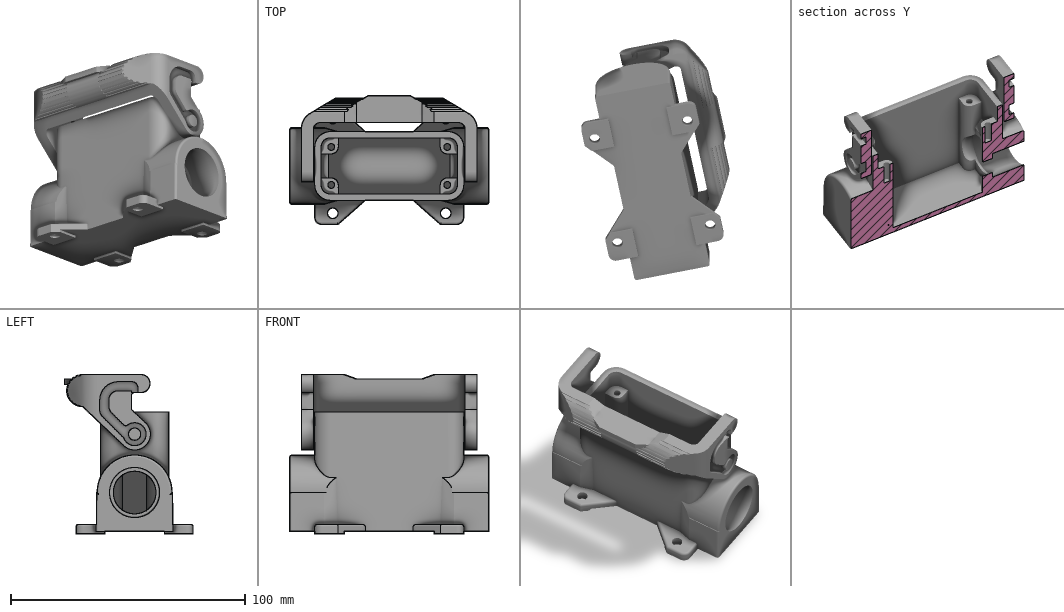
import cadquery as cq
import math

base_z = 1.0
body_top = 52.0
body_half_x = 31.8
body_half_y = 14.65
body_corner_r = 6.6
wall = 2.7
floor_z = 4.0

post_inner_x = 21.75
post_inner_y = 5.15
post_corner_r = 3.0
post_top = 43.0
post_hole_r = 1.45
post_hole_x = 24.75
post_hole_y = 8.1
post_hole_depth = 10.0

pad_inner_x = 25.9
pad_top = 33.0
pad_slope_height = 3.7

port_end_x = 42.5
port_r = 16.0
port_axis_z = 17.6
port_base_half_y = 16.4
port_draft = 0.6
port_shoulder_x = 27.7
port_root_x = 21.8
port_edge_r = 1.0
bore_r = 9.1
counterbore_r = 10.7
counterbore_depth = 15.5

foot_end_y = 25.0
foot_top = 4.0
foot_tip_x = 21.9
foot_root_x = 10.2
foot_corner_r = 3.0
foot_edge_r = 1.0
foot_hole_r = 2.2
foot_hole_x = 24.1
foot_hole_y = 20.2
foot_pad_inner_x = 19.1
foot_pad_inner_y = 12.65

lever_top = 68.0
lever_half_x = 37.5
arm_inner_x = 32.3
lever_inner_r = 2.8
lever_outer_r = 7.6
grip_inner_y = 18.5
grip_r = 6.9
grip_axis_y = 22.1
grip_back_half_x = 22.8
grip_slant = 30.7
pivot_z = 42.5
pivot_outer_r = 6.75
pivot_pin_r = 3.5
hook_r = 3.9
hook_axis_y = -2.7
slot_back_y = 1.3
slot_back_bottom_z = 53.0
slot_corner_r = 1.2

groove_depth = 2.4
groove_width = 3.9
groove_axis_y = 7.0
groove_axis_z = 57.0
groove_inner_r = 4.0
groove_outer_r = groove_inner_r + groove_width
groove_lean = 45.0
groove_run_offset = 0.5
groove_bend_r = 4.0
groove_blend_r = 1.2
groove_front_y = -1.4
groove_corner_r = 2.6
pivot_groove_r = 4.9
pivot_button_r = 2.6

rest_floor_z = 66.1
rest_half_x = 14.0
rest_rim_half_x = 19.2
tab_thickness = 2.5
tab_end_y = 30.0
tab_end_half_x = 9.0
tab_side_y = 27.2
rib_groove_count = 11
rib_pitch = 15.25
rib_groove_angle = 7.5
rib_depth = 0.35


def box(x0, x1, y0, y1, z0, z1):
    """Box between two corners, given in any order."""
    return (
        cq.Workplane("XY")
        .box(abs(x1 - x0), abs(y1 - y0), abs(z1 - z0))
        .translate(((x0 + x1) / 2, (y0 + y1) / 2, (z0 + z1) / 2))
    )


def cylinder_x(radius, x0, x1, y, z):
    """Cylinder along X between x0 and x1."""
    return cq.Workplane("YZ", origin=(x0, y, z)).circle(radius).extrude(x1 - x0)


def cylinder_z(radius, x, y, z0, z1):
    """Cylinder along Z between z0 and z1."""
    return cq.Workplane("XY", origin=(x, y, z0)).circle(radius).extrude(z1 - z0)


def tangent_point(point, center, radius, side):
    """Point where the line from an outside point touches a circle; side is +1 or -1."""
    dy = point[0] - center[0]
    dz = point[1] - center[1]
    turn = math.acos(radius / math.hypot(dy, dz))
    angle = math.atan2(dz, dy) + side * turn
    return on_circle(center, radius, angle)


def on_circle(center, radius, angle):
    """Point on a circle at an angle in radians."""
    return (center[0] + radius * math.cos(angle), center[1] + radius * math.sin(angle))


def make_shell():
    return (
        box(-body_half_x, body_half_x, -body_half_y, body_half_y, base_z, body_top)
        .edges("|Z").fillet(body_corner_r)
    )


def make_cavity():
    inner_x = body_half_x - wall
    inner_y = body_half_y - wall
    return (
        box(-inner_x, inner_x, -inner_y, inner_y, floor_z, body_top)
        .edges("|Z").fillet(body_corner_r - wall)
    )


def make_port(side):
    """Arched port block; its flanks narrow toward the body and lean inward."""
    reach = 2 * port_end_x
    arch = (
        cylinder_x(port_r, 0, side * port_end_x, 0, port_axis_z)
        .union(box(0, side * port_end_x, -port_base_half_y, port_base_half_y, base_z, port_axis_z))
    )
    plan = (
        cq.Workplane("XY", origin=(0, 0, base_z))
        .polyline([
            (side * reach, port_base_half_y),
            (side * port_shoulder_x, port_base_half_y),
            (side * port_root_x, body_half_y),
            (side * port_root_x, -body_half_y),
            (side * port_shoulder_x, -port_base_half_y),
            (side * reach, -port_base_half_y),
        ])
        .close()
        .extrude(body_top - base_z, taper=port_draft)
    )
    end_face = ">X" if side > 0 else "<X"
    return arch.intersect(plan).faces(end_face).edges("not <Z").fillet(port_edge_r)


def make_foot(x_side, y_side):
    """Wedge-shaped foot with a thin pad beneath its outer part."""
    outline = [
        (x_side * body_half_x, 0),
        (x_side * body_half_x, y_side * foot_end_y),
        (x_side * foot_tip_x, y_side * foot_end_y),
        (x_side * foot_root_x, y_side * body_half_y),
        (x_side * foot_root_x, 0),
    ]
    corner = cq.selectors.NearestToPointSelector(
        (x_side * body_half_x, y_side * foot_end_y, foot_top / 2)
    )
    foot = cq.Workplane("XY").polyline(outline).close().extrude(foot_top)
    foot = foot.edges("|Z").edges(corner).fillet(foot_corner_r)
    foot = foot.faces(">Z").edges().fillet(foot_edge_r)
    clearance_x = box(0, x_side * foot_pad_inner_x, 0, y_side * foot_end_y, 0, base_z)
    clearance_y = box(0, x_side * body_half_x, 0, y_side * foot_pad_inner_y, 0, base_z)
    return foot.cut(clearance_x).cut(clearance_y)


def make_post(x_side, y_side):
    post = box(x_side * post_inner_x, x_side * body_half_x,
               y_side * post_inner_y, y_side * body_half_y, floor_z, post_top)
    corner = cq.selectors.NearestToPointSelector(
        (x_side * post_inner_x, y_side * post_inner_y, (floor_z + post_top) / 2)
    )
    post = post.edges("|Z").edges(corner).fillet(post_corner_r)
    return post.cut(cylinder_z(post_hole_r, x_side * post_hole_x, y_side * post_hole_y,
                               post_top - post_hole_depth, post_top))


def make_end_pad(side):
    """Thick part of an end wall below the sloping top."""
    outer_x = side * body_half_x
    wall_x = side * (body_half_x - wall)
    inner_x = side * pad_inner_x
    return (
        cq.Workplane("XZ")
        .polyline([
            (outer_x, floor_z),
            (inner_x, floor_z),
            (inner_x, pad_top - pad_slope_height),
            (wall_x, pad_top),
            (outer_x, pad_top),
        ])
        .close()
        .extrude(post_inner_y + post_corner_r, both=True)
    )


def make_housing():
    housing = make_shell()
    for side in (-1, 1):
        housing = housing.union(make_port(side))
        for y_side in (-1, 1):
            housing = housing.union(make_foot(side, y_side))
    fittings = make_end_pad(-1).union(make_end_pad(1))
    for x_side in (-1, 1):
        for y_side in (-1, 1):
            fittings = fittings.union(make_post(x_side, y_side))
    housing = housing.cut(make_cavity().cut(fittings))
    for x_side in (-1, 1):
        for y_side in (-1, 1):
            housing = housing.cut(cylinder_z(foot_hole_r, x_side * foot_hole_x,
                                             y_side * foot_hole_y, 0, foot_top))
    bore = cylinder_x(bore_r, -port_end_x, -post_inner_x, 0, port_axis_z)
    mouth = cylinder_x(counterbore_r, -port_end_x, -port_end_x + counterbore_depth, 0, port_axis_z)
    return housing.cut(bore).cut(mouth)


def make_lever_side():
    """Side outline of the lever: hook, rounded grip and pivot eye, as a bar along X."""
    pivot = (0, pivot_z)
    grip_axis_z = lever_top - grip_r
    grip_bottom = (grip_axis_y, grip_axis_z - grip_r)
    hook_axis_z = lever_top - hook_r
    hook_bottom_z = hook_axis_z - hook_r
    slot_bottom = (slot_back_y, slot_back_bottom_z)
    eye_back = tangent_point(grip_bottom, pivot, pivot_outer_r, -1)
    eye_front = tangent_point(slot_bottom, pivot, pivot_outer_r, 1)
    outline = (
        cq.Workplane("YZ")
        .moveTo(hook_axis_y, lever_top)
        .lineTo(grip_axis_y, lever_top)
        .threePointArc((grip_axis_y + grip_r, grip_axis_z), grip_bottom)
        .lineTo(*eye_back)
        .threePointArc((0, pivot_z - pivot_outer_r), eye_front)
        .lineTo(*slot_bottom)
        .lineTo(slot_back_y, hook_bottom_z - slot_corner_r)
        .radiusArc((slot_back_y - slot_corner_r, hook_bottom_z), -slot_corner_r)
        .lineTo(hook_axis_y, hook_bottom_z)
        .threePointArc((hook_axis_y - hook_r, hook_axis_z), (hook_axis_y, lever_top))
        .close()
    )
    return outline.extrude(lever_half_x, both=True)


def make_lever_plan():
    """Plan outline of the lever: a U with slanted outer corners."""
    front_y = -2 * body_half_y
    back_y = grip_axis_y + grip_r
    corner_y = back_y - (lever_half_x - grip_back_half_x) * math.tan(math.radians(grip_slant))
    outer = (
        cq.Workplane("XY")
        .polyline([
            (-lever_half_x, front_y),
            (-lever_half_x, corner_y),
            (-grip_back_half_x, back_y),
            (grip_back_half_x, back_y),
            (lever_half_x, corner_y),
            (lever_half_x, front_y),
        ])
        .close()
        .extrude(lever_top)
    )
    for side in (-1, 1):
        corner = cq.selectors.NearestToPointSelector((side * lever_half_x, corner_y, lever_top / 2))
        outer = outer.edges("|Z").edges(corner).fillet(lever_outer_r)
    inner = (
        box(-arm_inner_x, arm_inner_x, front_y, grip_inner_y, 0, lever_top)
        .edges("|Z and >Y").fillet(lever_inner_r)
    )
    return outer.cut(inner)


def bend_points(edge_y, offset):
    """Start, middle and end of the bend from a vertical edge into the leaning run."""
    lean = math.radians(groove_lean)
    corner_z = pivot_z + edge_y * math.tan(lean) - offset / math.cos(lean)
    arc_y = edge_y - groove_bend_r
    arc_z = corner_z + groove_bend_r * math.tan((math.pi / 2 - lean) / 2)
    end_angle = lean - math.pi / 2
    return [on_circle((arc_y, arc_z), groove_bend_r, angle) for angle in (0, end_angle / 2, end_angle)]


def run_end(offset):
    """Point where an edge of the leaning run meets the pivot ring."""
    lean = math.radians(groove_lean)
    along = math.sqrt(pivot_groove_r ** 2 - offset ** 2)
    foot = on_circle((0, pivot_z), offset, lean - math.pi / 2)
    return on_circle(foot, along, lean)


def make_arm_groove(side):
    """Curved groove from the slot around to the pivot, with a raised pivot button."""
    center = (groove_axis_y, groove_axis_z)
    top_z = groove_axis_z + groove_outer_r
    island_top_z = groove_axis_z + groove_inner_r
    slot_top_z = lever_top - 2 * hook_r
    outer_y = groove_axis_y + groove_outer_r
    inner_y = groove_axis_y + groove_inner_r
    outer_offset = groove_run_offset + groove_width
    outer_start, outer_middle, outer_end = bend_points(outer_y, outer_offset)
    inner_start, inner_middle, inner_end = bend_points(inner_y, groove_run_offset)
    ring_entry = run_end(groove_run_offset)
    floor_x = side * (lever_half_x - groove_depth)
    depth = side * groove_depth
    band = (
        cq.Workplane("YZ", origin=(floor_x, 0, 0))
        .moveTo(groove_front_y, slot_top_z)
        .lineTo(groove_front_y, top_z - groove_corner_r)
        .radiusArc((groove_front_y + groove_corner_r, top_z), groove_corner_r)
        .lineTo(groove_axis_y, top_z)
        .threePointArc(on_circle(center, groove_outer_r, math.pi / 4), (outer_y, groove_axis_z))
        .lineTo(*outer_start)
        .threePointArc(outer_middle, outer_end)
        .lineTo(*run_end(outer_offset))
        .lineTo(0, pivot_z)
        .lineTo(*ring_entry)
        .lineTo(*inner_end)
        .threePointArc(inner_middle, inner_start)
        .lineTo(inner_y, groove_axis_z)
        .threePointArc(on_circle(center, groove_inner_r, math.pi / 4), (groove_axis_y, island_top_z))
        .lineTo(slot_back_y, island_top_z)
        .lineTo(slot_back_y, slot_top_z)
        .close()
        .extrude(depth)
    )
    ring = cylinder_x(pivot_groove_r, floor_x, floor_x + depth, 0, pivot_z)
    entry_edge = cq.selectors.NearestToPointSelector((floor_x + depth / 2, *ring_entry))
    groove = band.union(ring).edges("|X").edges(entry_edge).fillet(groove_blend_r)
    return groove.cut(cylinder_x(pivot_button_r, floor_x, floor_x + depth, 0, pivot_z))


def make_thumb_rest_cut():
    """Shallow dip with sloping ends across the top of the grip."""
    return (
        cq.Workplane("XZ", origin=(0, grip_inner_y, 0))
        .polyline([
            (-rest_half_x, rest_floor_z),
            (rest_half_x, rest_floor_z),
            (rest_rim_half_x, lever_top),
            (-rest_rim_half_x, lever_top),
        ])
        .close()
        .extrude(-(tab_end_y - grip_inner_y))
    )


def make_thumb_tab():
    return (
        cq.Workplane("XY", origin=(0, 0, rest_floor_z))
        .polyline([
            (-rest_half_x, grip_inner_y),
            (-rest_half_x, tab_side_y),
            (-tab_end_half_x, tab_end_y),
            (tab_end_half_x, tab_end_y),
            (rest_half_x, tab_side_y),
            (rest_half_x, grip_inner_y),
        ])
        .close()
        .extrude(-tab_thickness)
    )


def make_rib_groove(side, index):
    """Shallow groove along X on the rounded back of the grip."""
    center = (grip_axis_y, lever_top - grip_r)
    middle = (index - (rib_groove_count - 1) / 2) * rib_pitch
    start = math.radians(middle + rib_groove_angle / 2)
    end = math.radians(middle - rib_groove_angle / 2)
    inner_r = grip_r - rib_depth
    outer_r = grip_r + rib_depth
    return (
        cq.Workplane("YZ", origin=(side * tab_end_half_x, 0, 0))
        .polyline([
            on_circle(center, inner_r, start),
            on_circle(center, outer_r, start),
            on_circle(center, outer_r, end),
            on_circle(center, inner_r, end),
        ])
        .close()
        .extrude(side * (lever_half_x - tab_end_half_x))
    )


def make_lever():
    lever = make_lever_side().intersect(make_lever_plan())
    for side in (-1, 1):
        lever = lever.cut(make_arm_groove(side))
        for index in range(rib_groove_count):
            lever = lever.cut(make_rib_groove(side, index))
    return lever.cut(make_thumb_rest_cut()).union(make_thumb_tab())


def make_pivot_pin(side):
    """Pin that joins a lever arm to the end wall of the housing."""
    return cylinder_x(pivot_pin_r, side * (body_half_x - wall / 2), side * arm_inner_x, 0, pivot_z)


result = make_housing().union(make_lever())
for pin_side in (-1, 1):
    result = result.union(make_pivot_pin(pin_side))